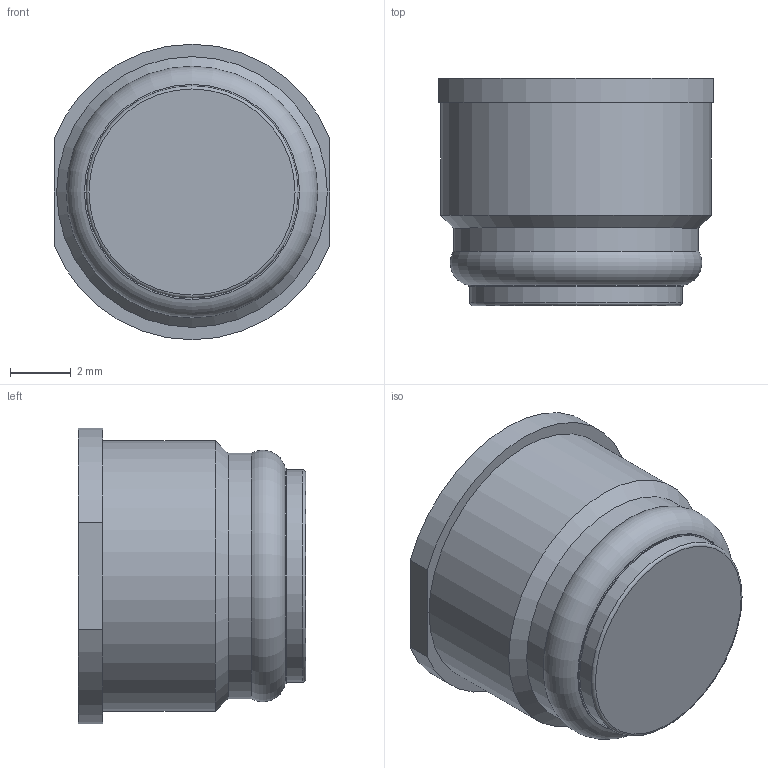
import math

import cadquery as cq

TOTAL_LENGTH = 7.5

FLANGE_DIAMETER = 9.75
FLANGE_THICKNESS = 0.8
FLANGE_WIDTH = 9.1

BODY_DIAMETER = 8.93
BODY_LENGTH = 3.72
NECK_DIAMETER = 8.09

BEAD_SECTION_RADIUS = 0.75
BEAD_RING_RADIUS = 3.4
BEAD_TO_TIP_END = 1.41

TIP_DIAMETER = 7.0
TIP_ROUNDING = 0.1
LIP_HEIGHT = 0.05
LIP_LENGTH = 0.04

flange_radius = FLANGE_DIAMETER / 2
body_radius = BODY_DIAMETER / 2
neck_radius = NECK_DIAMETER / 2
tip_radius = TIP_DIAMETER / 2
lip_radius = tip_radius + LIP_HEIGHT

tip_end_y = -TOTAL_LENGTH
body_end_y = -FLANGE_THICKNESS - BODY_LENGTH
neck_start_y = body_end_y - (body_radius - neck_radius)
bead_y = tip_end_y + BEAD_TO_TIP_END
bead_crest_radius = BEAD_RING_RADIUS + BEAD_SECTION_RADIUS


def bead_half_width(radius):
    """Distance along Y from the bead centre to its surface at a given radius."""
    return math.sqrt(BEAD_SECTION_RADIUS**2 - (radius - BEAD_RING_RADIUS) ** 2)


def make_flange():
    """Round disc trimmed by two parallel flats."""
    disc = cq.Workplane("XZ").circle(flange_radius).extrude(FLANGE_THICKNESS)
    trim = cq.Workplane("XZ").rect(FLANGE_WIDTH, FLANGE_DIAMETER).extrude(FLANGE_THICKNESS)
    return disc.intersect(trim)


def make_turned_body():
    """Body, neck, bead and tip as one half profile revolved about Y."""
    neck_end_y = bead_y + bead_half_width(neck_radius)
    bead_end_y = bead_y - bead_half_width(lip_radius)
    profile = (
        cq.Workplane("XY")
        .moveTo(0, 0)
        .lineTo(body_radius, 0)
        .lineTo(body_radius, body_end_y)
        .lineTo(neck_radius, neck_start_y)
        .lineTo(neck_radius, neck_end_y)
        .threePointArc((bead_crest_radius, bead_y), (lip_radius, bead_end_y))
        .lineTo(lip_radius, bead_end_y - LIP_LENGTH)
        .lineTo(tip_radius, bead_end_y - LIP_LENGTH)
        .lineTo(tip_radius, tip_end_y + TIP_ROUNDING)
        .radiusArc((tip_radius - TIP_ROUNDING, tip_end_y), TIP_ROUNDING)
        .lineTo(0, tip_end_y)
        .close()
    )
    return profile.revolve(360, (0, 0, 0), (0, 1, 0))


result = make_flange().union(make_turned_body())